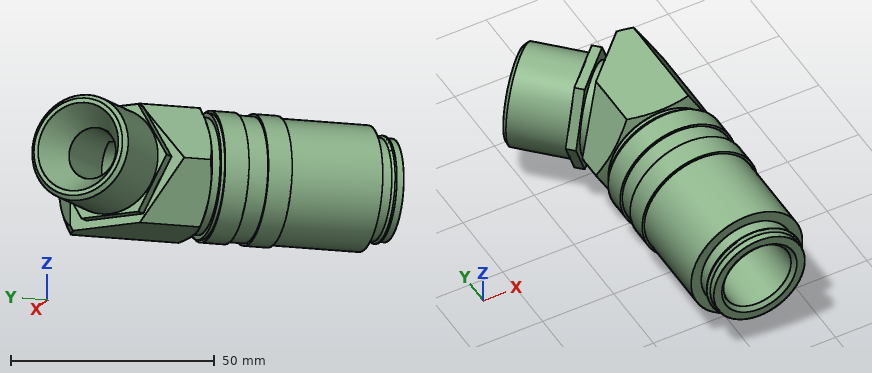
import cadquery as cq
import math

spigot_radius = 12.8
spigot_length = 6.35
retaining_ring_y = 2.5
retaining_ring_section = 0.7
retaining_ring_radius = 12.7
sleeve_radius = 15.6
sleeve_end = 47.9
band_radius = 16.25
band_width = 6.1
band_starts = (29.85, 40.9)
neck_radius = 14.5

body_start = 49.85
body_end = 80.2
body_flat_distance = 15.02
body_corner_radius = body_flat_distance / math.cos(math.radians(30))
body_end_radius = 14.6
body_chamfer_length = 1.3

elbow_y = 66.1
branch_angle = 45
branch_face = 6.5
branch_neck_radius = 12.1
flange_start = 8.8
flange_thickness = 2.7
flange_flat_distance = 13.55
stub_radius = 13.3
stub_end = 28.38
stub_chamfer = 1.0

main_bore_radius = 9.5
mouth_radius = 10.5
mouth_depth = 1.0
main_bore_depth = 47.4
inner_bore_radius = 7.0
inner_bore_depth = 73.0
branch_bore_radius = 6.4
branch_mouth_radius = 11.1
branch_cone_depth = 7.6

main_frame = cq.Plane(origin=(0, 0, 0), xDir=(1, 0, 0), normal=(0, 1, 0))
turn = math.radians(branch_angle)
branch_frame = cq.Plane(
    origin=(0, elbow_y, 0),
    xDir=(math.cos(turn), math.sin(turn), 0),
    normal=(-math.sin(turn), math.cos(turn), 0),
)


def cylinder(frame, radius, start, end):
    return cq.Workplane(frame).workplane(offset=start).circle(radius).extrude(end - start)


def hexagon(frame, flat_distance, start, end):
    """Hexagonal prism with two corners in the XY plane."""
    corner_diameter = 2 * flat_distance / math.cos(math.radians(30))
    return cq.Workplane(frame).workplane(offset=start).polygon(6, corner_diameter).extrude(end - start)


def cone(frame, start_radius, start, end_radius, end):
    profile = cq.Workplane(frame).workplane(offset=start).circle(start_radius)
    return profile.workplane(offset=end - start).circle(end_radius).loft(combine=True)


def make_coupling():
    coupling = cylinder(main_frame, spigot_radius, 0, spigot_length)
    ring = cq.Solid.makeTorus(
        retaining_ring_radius, retaining_ring_section, cq.Vector(0, retaining_ring_y, 0), cq.Vector(0, 1, 0)
    )
    coupling = coupling.union(cq.Workplane(obj=ring))
    coupling = coupling.union(cylinder(main_frame, sleeve_radius, spigot_length, sleeve_end))
    for band_start in band_starts:
        coupling = coupling.union(cylinder(main_frame, band_radius, band_start, band_start + band_width))
    return coupling.union(cylinder(main_frame, neck_radius, sleeve_end, body_start))


def make_body():
    """Hexagonal bar with turned corners at both ends, cut square to the branch."""
    body = hexagon(main_frame, body_flat_distance, body_start, body_end)
    front_shoulder = body_start + body_chamfer_length
    back_shoulder = body_end - body_chamfer_length
    envelope = cone(main_frame, body_end_radius, body_start, body_corner_radius, front_shoulder)
    envelope = envelope.union(cylinder(main_frame, body_corner_radius, front_shoulder, back_shoulder))
    envelope = envelope.union(cone(main_frame, body_corner_radius, back_shoulder, body_end_radius, body_end))
    beyond_face = cylinder(branch_frame, 3 * body_corner_radius, branch_face, body_end)
    return body.intersect(envelope).cut(beyond_face)


def make_branch():
    flange_end = flange_start + flange_thickness
    branch = cylinder(branch_frame, branch_neck_radius, branch_face, flange_start)
    branch = branch.union(hexagon(branch_frame, flange_flat_distance, flange_start, flange_end))
    stub_shoulder = stub_end - stub_chamfer
    branch = branch.union(cylinder(branch_frame, stub_radius, flange_end, stub_shoulder))
    return branch.union(
        cone(branch_frame, stub_radius, stub_shoulder, stub_radius - stub_chamfer, stub_end)
    )


def make_bores():
    bores = cylinder(main_frame, main_bore_radius, 0, main_bore_depth)
    bores = bores.union(cone(main_frame, mouth_radius, 0, main_bore_radius, mouth_depth))
    bores = bores.union(cylinder(main_frame, inner_bore_radius, main_bore_depth, inner_bore_depth))
    bores = bores.union(cylinder(branch_frame, branch_bore_radius, 0, stub_end))
    cone_start = stub_end - branch_cone_depth
    return bores.union(cone(branch_frame, branch_bore_radius, cone_start, branch_mouth_radius, stub_end))


result = make_coupling().union(make_body()).union(make_branch()).cut(make_bores())